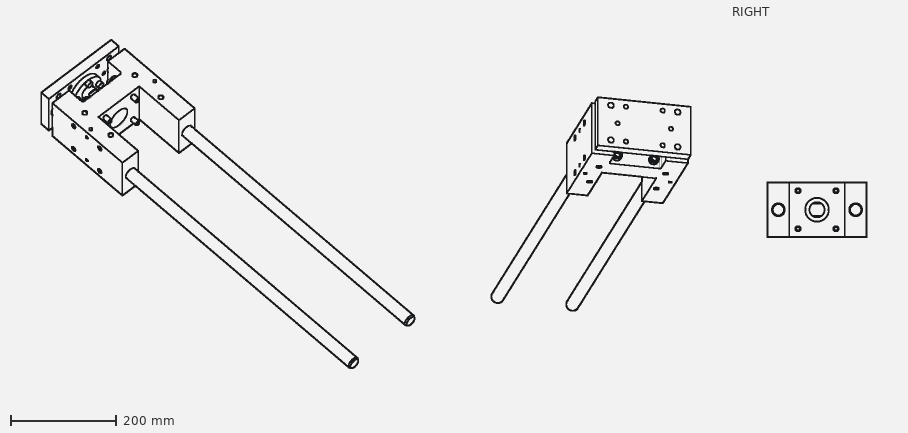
import cadquery as cq
import math

SIDES = (-1, 1)
OVERALL_LENGTH = 851.0

PATTERN = 72.0
WIDE_SPACING = 131.0

HOUSING_START = 34.0
HOUSING_LENGTH = 195.0
HOUSING_WIDTH = 189.0
HOUSING_HEIGHT = 105.0
HOUSING_END = HOUSING_START + HOUSING_LENGTH
BRIDGE_START = 72.0
BRIDGE_END = 118.0
FRONT_GAP = 101.0
REAR_GAP = 106.0
FRONT_GAP_RADIUS = 3.0
BRIDGE_BORE_DIAMETER = 45.0

ARM_HOLES_X = 129.0
MOUNT_HOLE_DIAMETER = 8.5
MOUNT_HOLE_MOUTH = 10.0
MOUNT_HOLE_DEPTH = 17.0
DRILL_TIP_ANGLE = 118
ARM_DOWEL_DIAMETER = 6.0
ARM_DOWEL_DEPTH = 8.5
ARM_DOWEL_SPACING = 167.0

SCREW_HEAD_DIAMETER = 18.0
SCREW_HEAD_HEIGHT = 10.0
SCREW_HEAD_CHAMFER = 2.0
SCREW_SOCKET_SIZE = 10.0
SCREW_SOCKET_DEPTH = 5.0
SCREW_TIP_DIAMETER = 10.0
SCREW_TIP_LENGTH = 15.0
SCREW_TIP_CHAMFER = 2.0

PLATE_THICKNESS = 21.0
PLATE_WIDTH = 183.0
PLATE_HEIGHT = 100.0
PLATE_OUTER_HOLE_DIAMETER = 11.0
PLATE_INNER_HOLE_DIAMETER = 8.5
PLATE_DOWEL_DIAMETER = 8.0
PLATE_DOWEL_SPACING = 105.0

ROD_DIAMETER = 25.0
ROD_SPACING = 147.0
ROD_CHAMFER_LENGTH = 3.0
ROD_CHAMFER_DEPTH = 2.0

FLANGE_DIAMETER = 70.0
FLANGE_THICKNESS = 10.0
FLANGE_BACK = PLATE_THICKNESS + FLANGE_THICKNESS
STUB_DIAMETER = 29.0
STUB_LENGTH = 25.5
STUB_END = FLANGE_BACK + STUB_LENGTH
STUB_FLATS_LENGTH = 13.0
STUB_FLATS_WIDTH = 22.0
FLANGE_SCREW_DIAMETER = 13.0
FLANGE_SCREW_HEIGHT = 8.0
FLANGE_SCREW_CIRCLE = 56.0


def block(start, end, width, height):
    """Box from one X to another, centred on the X axis."""
    size = cq.Workplane("XY").box(end - start, width, height, centered=(False, True, True))
    return size.translate((start, 0, 0))


def cylinders(start, end, diameter, places):
    """Cylinders from one X to another, at the given (Y, Z) places."""
    base = cq.Workplane("YZ", origin=(start, 0, 0)).pushPoints(places)
    return base.circle(diameter / 2).extrude(end - start)


def pair(spacing):
    """Two places side by side, centred on the origin."""
    return [(side * spacing / 2, 0) for side in SIDES]


def rectangle(width, height):
    """Four places at the corners of a rectangle centred on the origin."""
    return [(u * width / 2, v * height / 2) for u in SIDES for v in SIDES]


def mount_hole(face_height):
    """Blind hole down from a face, with a chamfered mouth and a conical drill tip."""
    radius = MOUNT_HOLE_DIAMETER / 2
    mouth_radius = MOUNT_HOLE_MOUTH / 2
    chamfer = mouth_radius - radius
    tip_length = radius / math.tan(math.radians(DRILL_TIP_ANGLE / 2))
    floor_height = face_height - MOUNT_HOLE_DEPTH
    profile = [
        (0, face_height),
        (mouth_radius, face_height),
        (radius, face_height - chamfer),
        (radius, floor_height),
        (0, floor_height - tip_length),
    ]
    return cq.Workplane("XZ").polyline(profile).close().revolve(360, (0, 0), (0, 1))


def arm_holes(face_height, mount_spacing, dowel_spacing):
    """Holes in a face that points up: four mounting holes and two dowel holes midway between them."""
    dowels = cq.Workplane("XY", origin=(ARM_HOLES_X, 0, face_height))
    dowels = dowels.pushPoints([(0, side * dowel_spacing / 2) for side in SIDES])
    holes = dowels.circle(ARM_DOWEL_DIAMETER / 2).extrude(-ARM_DOWEL_DEPTH)
    for x, y in rectangle(PATTERN, mount_spacing):
        holes = holes.union(mount_hole(face_height).translate((ARM_HOLES_X + x, y, 0)))
    return holes


def bridge_screws():
    """Socket heads in front of the bridge and the screw tips behind it."""
    places = rectangle(PATTERN, PATTERN)
    head_front = BRIDGE_START - SCREW_HEAD_HEIGHT
    heads = cylinders(head_front, BRIDGE_START, SCREW_HEAD_DIAMETER, places)
    heads = heads.faces("<X").edges().chamfer(SCREW_HEAD_CHAMFER)
    sockets = cq.Workplane("YZ", origin=(head_front, 0, 0)).pushPoints(places)
    sockets = sockets.polygon(6, SCREW_SOCKET_SIZE, circumscribed=True).extrude(SCREW_SOCKET_DEPTH)
    tips = cylinders(BRIDGE_END, BRIDGE_END + SCREW_TIP_LENGTH, SCREW_TIP_DIAMETER, places)
    tips = tips.faces(">X").edges().chamfer(SCREW_TIP_CHAMFER)
    return heads.cut(sockets), tips


def make_housing():
    """H-shaped block with its holes and the four screws fixed in its bridge."""
    body = block(HOUSING_START, HOUSING_END, HOUSING_WIDTH, HOUSING_HEIGHT)
    front_gap = block(HOUSING_START, BRIDGE_START, FRONT_GAP, HOUSING_HEIGHT)
    front_gap = front_gap.faces(">X").edges("|Z").fillet(FRONT_GAP_RADIUS)
    rear_gap = block(BRIDGE_END, HOUSING_END, REAR_GAP, HOUSING_HEIGHT)
    body = body.cut(front_gap).cut(rear_gap)
    body = body.cut(cylinders(BRIDGE_START, BRIDGE_END, BRIDGE_BORE_DIAMETER, [(0, 0)]))
    body = body.cut(cylinders(HOUSING_START, HOUSING_END, ROD_DIAMETER, pair(ROD_SPACING)))
    top_holes = arm_holes(HOUSING_HEIGHT / 2, WIDE_SPACING, ARM_DOWEL_SPACING)
    side_holes = arm_holes(HOUSING_WIDTH / 2, PATTERN, PATTERN).rotate((0, 0, 0), (1, 0, 0), 90)
    body = body.cut(side_holes).cut(side_holes.mirror("XZ"))
    body = body.cut(top_holes).cut(top_holes.mirror("XY"))
    heads, tips = bridge_screws()
    return body.union(heads).union(tips)


def make_plate():
    """Front plate with its through holes."""
    plate = block(0, PLATE_THICKNESS, PLATE_WIDTH, PLATE_HEIGHT)
    hole_groups = [
        (PLATE_OUTER_HOLE_DIAMETER, rectangle(WIDE_SPACING, PATTERN)),
        (PLATE_INNER_HOLE_DIAMETER, rectangle(PATTERN, PATTERN)),
        (PLATE_DOWEL_DIAMETER, pair(PLATE_DOWEL_SPACING)),
    ]
    for diameter, places in hole_groups:
        plate = plate.cut(cylinders(0, PLATE_THICKNESS, diameter, places))
    return plate


def make_coupling():
    """Round flange with four screw heads and a stub that has two flats at its end."""
    flange = cylinders(PLATE_THICKNESS, FLANGE_BACK, FLANGE_DIAMETER, [(0, 0)])
    stub = cylinders(FLANGE_BACK, STUB_END, STUB_DIAMETER, [(0, 0)])
    flats_start = STUB_END - STUB_FLATS_LENGTH
    around_flats = block(flats_start, STUB_END, STUB_DIAMETER, STUB_DIAMETER)
    between_flats = block(flats_start, STUB_END, STUB_DIAMETER, STUB_FLATS_WIDTH)
    stub = stub.cut(around_flats.cut(between_flats))
    across = pair(FLANGE_SCREW_CIRCLE)
    upright = [(z, y) for y, z in across]
    screw_end = FLANGE_BACK + FLANGE_SCREW_HEIGHT
    screws = cylinders(FLANGE_BACK, screw_end, FLANGE_SCREW_DIAMETER, across + upright)
    return flange.union(stub).union(screws)


def make_slide():
    """Moving part: plate, two guide rods and the coupling."""
    rods = cylinders(PLATE_THICKNESS, OVERALL_LENGTH, ROD_DIAMETER, pair(ROD_SPACING))
    rods = rods.faces(">X").edges().chamfer(ROD_CHAMFER_LENGTH, ROD_CHAMFER_DEPTH)
    return make_plate().union(rods).union(make_coupling())


housing = make_housing()
slide = make_slide()
result = cq.Compound.makeCompound([housing.val(), slide.val()])